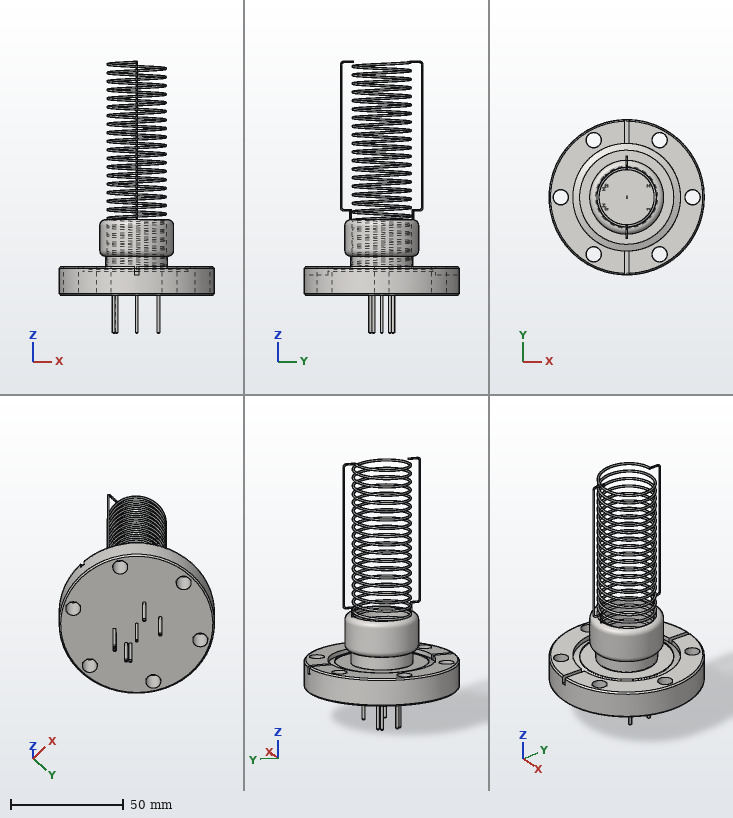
import cadquery as cq
import math

flange_diameter = 69.3
flange_radius = flange_diameter / 2
flange_height = 12.8
flange_chamfer = 0.7

recess_radius = 24.0
knife_edge_radius = 21.0
slope_foot_z = flange_height - 2.1
knife_edge_z = flange_height - 0.7
recess_floor_z = flange_height - 1.3

bolt_count = 6
bolt_circle_radius = 29.4
bolt_hole_diameter = 6.7

groove_width = 2.1
groove_depth = 3.6

neck_radius = 13.8
collar_radius = 16.5
collar_bottom_z = 17.4
collar_top_z = 33.8
collar_fillet = 2.7
bore_radius = 13.4
bore_floor_z = recess_floor_z

pin_length = 17.0
pin_diameter = 1.5
collector_pin_diameter = 1.2
pin_chamfer = 0.5
pin_root = 1.2
mirrored_pin_places = [(-10.2, 3.6), (-9.0, 5.1), (9.7, 5.1)]

overall_height = 121.5
wire_top_z = overall_height - pin_length

coil_wire_diameter = 1.0
coil_radius = 12.8
coil_turns = 24
coil_height = 91.6
coil_pitch = coil_height / coil_turns

post_wire_diameter = 0.7
post_offset = 18.1
post_hook_offset = 12.5
post_leg_offset = 14.0
post_leg_root = 1.2
post_bend_radius = 1.2
post_step_z = collar_top_z + 4.1


def make_flange():
    flange = cq.Workplane("XY").circle(flange_radius).extrude(flange_height)
    flange = flange.faces("<Z or >Z").chamfer(flange_chamfer)

    recess = (
        cq.Workplane("XZ")
        .moveTo(0, recess_floor_z)
        .lineTo(knife_edge_radius, recess_floor_z)
        .lineTo(knife_edge_radius, knife_edge_z)
        .lineTo(recess_radius, slope_foot_z)
        .lineTo(recess_radius, flange_height)
        .lineTo(0, flange_height)
        .close()
        .revolve(360, (0, 0, 0), (0, 1, 0))
    )
    bolt_holes = (
        cq.Workplane("XY")
        .polarArray(bolt_circle_radius, 0, 360, bolt_count)
        .circle(bolt_hole_diameter / 2)
        .extrude(flange_height)
    )
    grooves = (
        cq.Workplane("XY", origin=(0, 0, flange_height - groove_depth))
        .rect(groove_width, flange_diameter)
        .extrude(groove_depth)
    )
    groove_limit = cq.Workplane("XY").circle(recess_radius).extrude(flange_height)
    return flange.cut(recess).cut(bolt_holes).cut(grooves.cut(groove_limit))


def make_cup():
    neck = (
        cq.Workplane("XY", origin=(0, 0, recess_floor_z))
        .circle(neck_radius)
        .extrude(collar_top_z - recess_floor_z)
    )
    collar = (
        cq.Workplane("XY", origin=(0, 0, collar_bottom_z))
        .circle(collar_radius)
        .extrude(collar_top_z - collar_bottom_z)
        .edges()
        .fillet(collar_fillet)
    )
    bore = (
        cq.Workplane("XY", origin=(0, 0, bore_floor_z))
        .circle(bore_radius)
        .extrude(collar_top_z - bore_floor_z)
    )
    return neck.union(collar).cut(bore)


def make_pin(x, y, diameter):
    return (
        cq.Workplane("XY", origin=(x, y, -pin_length))
        .circle(diameter / 2)
        .extrude(pin_length + pin_root)
        .faces("<Z")
        .chamfer(pin_chamfer)
    )


def make_coil():
    start_z = wire_top_z - coil_wire_diameter / 2 - coil_height
    helix = cq.Wire.makeHelix(coil_pitch, coil_height, coil_radius, lefthand=True)
    quarter_turn = 90
    helix = helix.rotate(cq.Vector(0, 0, 0), cq.Vector(0, 0, 1), quarter_turn)
    helix = helix.translate(cq.Vector(0, 0, start_z))
    section = cq.Plane(origin=(0, coil_radius, start_z), xDir=(0, 1, 0), normal=(1, 0, 0))
    return cq.Workplane(section).circle(coil_wire_diameter / 2).sweep(cq.Workplane(helix), isFrenet=True)


def make_post():
    hook_z = wire_top_z - post_wire_diameter / 2
    leg_z = collar_top_z - post_leg_root
    bend = post_bend_radius
    bend_reach = bend * math.sqrt(0.5)
    upright_inner = post_offset - bend
    path = (
        cq.Workplane("YZ")
        .moveTo(post_leg_offset, leg_z)
        .lineTo(post_leg_offset, post_step_z)
        .lineTo(upright_inner, post_step_z)
        .threePointArc(
            (upright_inner + bend_reach, post_step_z + bend - bend_reach),
            (post_offset, post_step_z + bend),
        )
        .lineTo(post_offset, hook_z - bend)
        .threePointArc(
            (upright_inner + bend_reach, hook_z - bend + bend_reach),
            (upright_inner, hook_z),
        )
        .lineTo(post_hook_offset, hook_z)
    )
    return (
        cq.Workplane("XY", origin=(0, post_leg_offset, leg_z))
        .circle(post_wire_diameter / 2)
        .sweep(path, transition="right")
    )


result = make_flange().union(make_cup())

result = result.union(make_pin(0, 0, collector_pin_diameter))
for pin_x, pin_y in mirrored_pin_places:
    for side in (1, -1):
        result = result.union(make_pin(pin_x, side * pin_y, pin_diameter))

post = make_post()
result = result.union(post).union(post.mirror("XZ"))
result = result.union(make_coil()).solids()